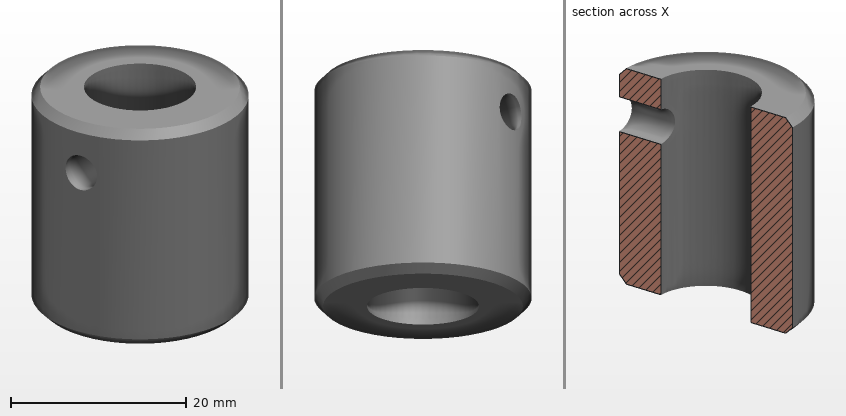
import cadquery as cq

height = 27.0
outer_diameter = 24.8
bore_diameter = 12.8
edge_chamfer = 1.0

radial_hole_diameter = 4.3
radial_hole_depth_from_top = 6.0
radial_hole_z = height - radial_hole_depth_from_top

body = cq.Workplane("XY").circle(outer_diameter / 2).extrude(height)
body = body.faces("<Z or >Z").edges().chamfer(edge_chamfer)

bore = cq.Workplane("XY").circle(bore_diameter / 2).extrude(height)

radial_hole = (
    cq.Workplane("XZ")
    .center(0, radial_hole_z)
    .circle(radial_hole_diameter / 2)
    .extrude(outer_diameter / 2)
)

result = body.cut(bore).cut(radial_hole)